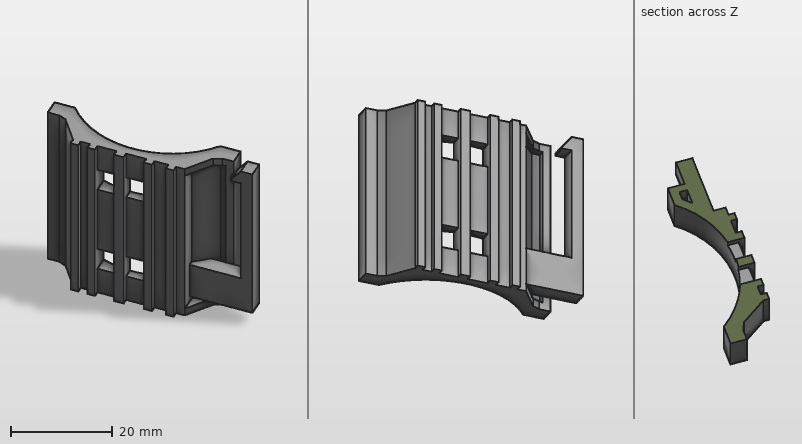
import cadquery as cq
import math

body_width = 40.0
body_height = 37.0
half_width = body_width / 2
flange_thickness = 3.5
face_depth = 9.5
face_half_width = 12.0
flange_half_inner = 17.55
flank_half_top = 15.87
flank_top_depth = 4.2

seat_radius = 20.0
seat_depth = 7.5
seat_axis_y = seat_radius - seat_depth
seat_half_chord = math.sqrt(seat_radius**2 - seat_axis_y**2)

rib_depth = 1.25
ribs = [(-12.0, -10.35), (-8.4, -6.75), (-2.7, -0.6), (3.7, 5.5), (8.5, 10.15)]

window_height = 5.0
window_bottoms = [6.0, 26.0]

pocket_end_margin = 1.7
pocket_outer_x = 18.3
pocket_floor_depth = 2.0
pocket_floor_radius = seat_radius + face_depth - seat_depth

arm_thickness = 3.5
arm_bottom = 3.0
arm_base_top = 11.0
arm_top = 38.0
arm_outer_x = 25.5
arm_width = 2.5
hook_reach = 2.0
hook_bottom = 35.0
hook_tip_height = 0.5


def box_between(x_range, y_range, z_range):
    """Box spanning the given (low, high) ranges."""
    (x0, x1), (y0, y1), (z0, z1) = x_range, y_range, z_range
    return cq.Workplane("XY").box(x1 - x0, y1 - y0, z1 - z0, centered=False).translate((x0, y0, z0))


def make_body():
    """Bracket section with flanges, bevelled flanks and the round seat."""
    return (
        cq.Workplane("XY")
        .moveTo(-seat_half_chord, 0)
        .lineTo(-half_width, 0)
        .lineTo(-half_width, -flange_thickness)
        .lineTo(-flange_half_inner, -flange_thickness)
        .lineTo(-flank_half_top, -flank_top_depth)
        .lineTo(-face_half_width, -face_depth)
        .lineTo(face_half_width, -face_depth)
        .lineTo(flank_half_top, -flank_top_depth)
        .lineTo(flange_half_inner, -flange_thickness)
        .lineTo(half_width, -flange_thickness)
        .lineTo(half_width, 0)
        .lineTo(seat_half_chord, 0)
        .threePointArc((0, -seat_depth), (-seat_half_chord, 0))
        .close()
        .extrude(body_height)
    )


def make_pocket():
    """Pocket cutter: a flat floor that runs into a curve concentric with the seat."""
    pocket_block = box_between(
        (face_half_width, pocket_outer_x),
        (-face_depth, -pocket_floor_depth),
        (pocket_end_margin, body_height - pocket_end_margin),
    )
    shell = cq.Workplane("XY").center(0, seat_axis_y).circle(pocket_floor_radius).extrude(body_height)
    return pocket_block.cut(shell)


def make_ribs():
    """Full-height ribs on the front face."""
    solids = cq.Workplane("XY")
    for rib in ribs:
        solids = solids.add(box_between(rib, (-face_depth - rib_depth, -face_depth), (0, body_height)))
    return solids.combine()


def cut_windows(part):
    """Four windows through the wall on both sides of the middle rib."""
    middle = len(ribs) // 2
    for left in (middle - 1, middle):
        gap = (ribs[left][1], ribs[left + 1][0])
        for bottom in window_bottoms:
            part = part.cut(box_between(gap, (-face_depth, 0), (bottom, bottom + window_height)))
    return part


def make_latch_arm():
    """Latch arm whose back lies level with the underside of the flange."""
    arm_inner_x = arm_outer_x - arm_width
    hook_tip_x = arm_inner_x - hook_reach
    outline = [
        (face_half_width, arm_bottom),
        (arm_outer_x, arm_bottom),
        (arm_outer_x, arm_top),
        (arm_inner_x, arm_top),
        (hook_tip_x, hook_bottom + hook_tip_height),
        (hook_tip_x, hook_bottom),
        (arm_inner_x, hook_bottom),
        (arm_inner_x, arm_base_top),
        (face_half_width, arm_base_top),
    ]
    return (
        cq.Workplane("XZ", origin=(0, -flange_thickness, 0))
        .polyline(outline)
        .close()
        .extrude(arm_thickness)
    )


body = make_body().cut(make_pocket())
ribbed_body = cut_windows(body).union(make_ribs())
result = ribbed_body.union(make_latch_arm())